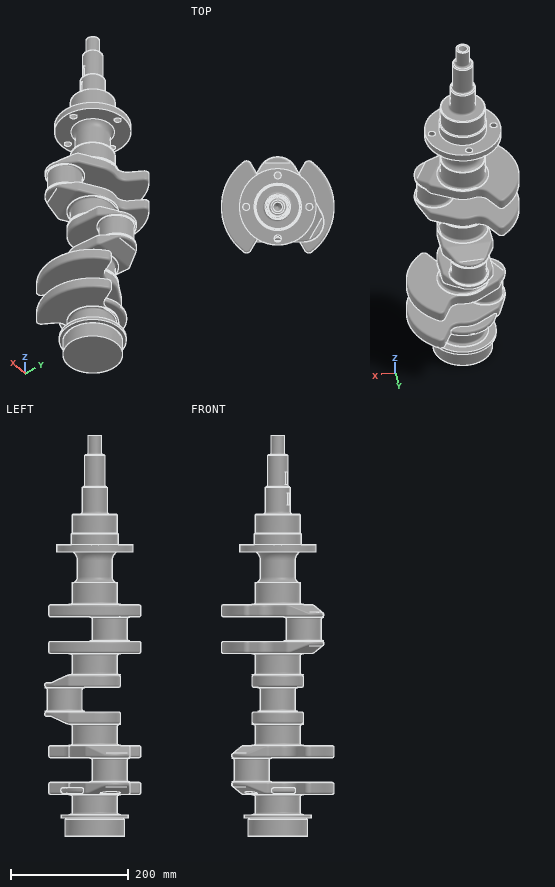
import cadquery as cq
import math

TOTAL_LENGTH = 683.0
THROW = 51.3
CYLINDER_SPACING = 120.0
FIRST_CRANK_Z = 113.0
WEB_THICKNESS = 21.0
WEB_GAP = 41.5

MAIN_RADIUS = 38.4
PIN_RADIUS = 30.0
JOURNAL_FILLET = 3.0
MAIN_COLLAR_RADIUS = 44.0
PIN_COLLAR_RADIUS = 33.5
COLLAR_HEIGHT = 1.0

DISC_RADIUS = 44.0
PIN_END_RADIUS = 34.2
SHOULDER_U = 44.0
SHOULDER_ROUND = 9.5
WEB_EDGE_ROUND = 3.8
BEVEL_START_U = 46.6
BEVEL_END_U = 74.5
BEVEL_DROP = 13.0
BEVEL_CREASE_RUN = 2.5

WEIGHT_RADIUS = 96.22
WEIGHT_HALF_ANGLE = 60.0
WEIGHT_EDGE_SETBACK = 2.5
WEIGHT_TIP_ROUND = 8.0
THROAT_RADIUS = 20.0

NOSE_RADIUS = 11.6
NOSE_LENGTH = 32.5
NOSE_FILLET = 2.5
PULLEY_SEAT_RADIUS = 17.6
PULLEY_SEAT_END = 85.0
GEAR_SEAT_RADIUS = 21.7
GEAR_SEAT_END = 134.0
FRONT_JOURNAL_END = 168.0
SPIGOT_RADIUS = 40.3
FLANGE_TOP = 186.0
FLANGE_BOTTOM = 199.0
FLANGE_RADIUS = 65.2
FLANGE_FLARE_RADIUS = 37.0
FLARE_HEIGHT = 13.5
NECK_RADIUS = 30.0
NECK_END = 241.5
NECK_FLARE_HEIGHT = 9.5
SHAFT_FILLET = 4.0
SMALL_CHAMFER = 1.5
SEAT_CHAMFER = 2.0

FLANGE_HOLE_COUNT = 4
FLANGE_HOLE_DIAMETER = 12.0
FLANGE_HOLE_CIRCLE_RADIUS = 53.7

CENTRE_MOUTH_RADIUS = 8.0
CENTRE_CONE_ANGLE = 60.0

KEY_WIDTH = 7.0
KEY_DEPTH = 4.0
KEY_ANGLE = -30.0
PULLEY_KEY_SPAN = (62.0, 84.0)
GEAR_KEY_SPAN = (98.0, 118.5)

REAR_FLANGE_RADIUS = 57.2
REAR_FLANGE_TOP = 36.7
REAR_BOSS_RADIUS = 51.0
REAR_BOSS_HEIGHT = 31.0
REAR_BOSS_CHAMFER = 2.5

REAR_DISC_RADIUS = 58.0
REAR_DISC_BOTTOM = 73.2
REAR_DISC_THICKNESS = 10.0
REAR_DISC_ROUND = 4.0

WEB_INNER = WEB_GAP / 2
WEB_OUTER = WEB_INNER + WEB_THICKNESS
CRANK_ANGLES = (210.0, 90.0, -30.0)
CRANK_LEVELS = [FIRST_CRANK_Z + i * CYLINDER_SPACING for i in range(len(CRANK_ANGLES))]


def polar(radius, degrees):
    angle = math.radians(degrees)
    return (radius * math.cos(angle), radius * math.sin(angle))


def tangent_arc_radius(rise, run):
    """Radius of an arc that leaves a line tangentially and drifts off it by rise over run."""
    return (rise**2 + run**2) / (2 * rise)


def journal(bottom, top, radius, collar_radius):
    """Cylinder filleted into a thin collar at each end; the ends lie on the web faces."""
    foot = bottom + COLLAR_HEIGHT
    head = top - COLLAR_HEIGHT
    flare_radius = radius + JOURNAL_FILLET
    return (
        cq.Workplane("XZ")
        .moveTo(0, bottom)
        .lineTo(collar_radius, bottom)
        .lineTo(collar_radius, foot)
        .lineTo(flare_radius, foot)
        .radiusArc((radius, foot + JOURNAL_FILLET), JOURNAL_FILLET)
        .lineTo(radius, head - JOURNAL_FILLET)
        .radiusArc((flare_radius, head), JOURNAL_FILLET)
        .lineTo(collar_radius, head)
        .lineTo(collar_radius, top)
        .lineTo(0, top)
        .close()
        .revolve(360, (0, 0, 0), (0, 1, 0))
    )


def pin_end(sketch):
    """Add shoulder, taper, pin-end arc, taper and shoulder, from the -Y flank to the +Y flank."""
    corner = complex(SHOULDER_U - THROW, DISC_RADIUS)
    corner_angle = math.atan2(corner.imag, corner.real)
    touch_angle = math.degrees(corner_angle - math.acos(PIN_END_RADIUS / abs(corner)))
    touch_x, touch_y = polar(PIN_END_RADIUS, touch_angle)
    touch_x += THROW
    turn = 90 - touch_angle
    run = SHOULDER_ROUND * math.tan(math.radians(turn / 2))
    taper_x, taper_drop = polar(run, turn)
    taper_x += SHOULDER_U
    taper_y = DISC_RADIUS - taper_drop
    return (
        sketch.lineTo(SHOULDER_U - run, -DISC_RADIUS)
        .tangentArcPoint((taper_x, -taper_y), relative=False)
        .lineTo(touch_x, -touch_y)
        .threePointArc((THROW + PIN_END_RADIUS, 0), (touch_x, touch_y))
        .lineTo(taper_x, taper_y)
        .tangentArcPoint((SHOULDER_U - run, DISC_RADIUS), relative=False)
        .lineTo(0, DISC_RADIUS)
    )


def plain_outline():
    sketch = pin_end(cq.Workplane("XY").moveTo(0, -DISC_RADIUS))
    return sketch.threePointArc((-DISC_RADIUS, 0), (0, -DISC_RADIUS)).close()


def counterweight_outline():
    """Web with a counterweight sector whose -Y edge is square to the pin direction."""
    lower_edge = -90.0
    weight_axis = lower_edge - WEIGHT_HALF_ANGLE
    upper_edge = weight_axis - WEIGHT_HALF_ANGLE

    def from_edge(along, out, edge, side):
        """Point given along a sector edge and outwards from it (away from the counterweight)."""
        ax, ay = polar(along, edge)
        ox, oy = polar(out, edge + side * 90)
        return (ax + ox, ay + oy)

    throat_out = THROAT_RADIUS - WEIGHT_EDGE_SETBACK
    throat_reach = DISC_RADIUS + THROAT_RADIUS
    upper_throat_along = math.sqrt(throat_reach**2 - throat_out**2)
    throat_x, throat_y = from_edge(upper_throat_along, throat_out, upper_edge, -1)
    disc_share = DISC_RADIUS / throat_reach
    disc_exit = (throat_x * disc_share, throat_y * disc_share)

    tip_out = -WEIGHT_EDGE_SETBACK - WEIGHT_TIP_ROUND
    tip_reach = WEIGHT_RADIUS - WEIGHT_TIP_ROUND
    tip_along = math.sqrt(tip_reach**2 - tip_out**2)
    tip_share = WEIGHT_RADIUS / tip_reach

    def rim_point(edge, side):
        x, y = from_edge(tip_along, tip_out, edge, side)
        return (x * tip_share, y * tip_share)

    setback = -WEIGHT_EDGE_SETBACK
    flank_start = (throat_out, -DISC_RADIUS)
    return (
        pin_end(cq.Workplane("XY").moveTo(*flank_start))
        .tangentArcPoint(disc_exit, relative=False)
        .tangentArcPoint(from_edge(upper_throat_along, setback, upper_edge, -1), relative=False)
        .lineTo(*from_edge(tip_along, setback, upper_edge, -1))
        .tangentArcPoint(rim_point(upper_edge, -1), relative=False)
        .threePointArc(polar(WEIGHT_RADIUS, weight_axis), rim_point(lower_edge, 1))
        .tangentArcPoint(from_edge(tip_along, setback, lower_edge, 1), relative=False)
        .lineTo(*from_edge(throat_reach, setback, lower_edge, 1))
        .tangentArcPoint(flank_start, relative=False)
        .close()
    )


def web(outline):
    """Extruded web with a bevel sloping down to the pin end and rounded rims."""
    body = outline.extrude(WEB_THICKNESS)
    tilt = math.atan2(BEVEL_DROP, BEVEL_END_U - BEVEL_START_U)
    crease_radius = BEVEL_CREASE_RUN / math.tan(tilt / 2)
    crease_x, crease_drop = polar(BEVEL_CREASE_RUN, math.degrees(tilt))
    lip = WEB_THICKNESS - BEVEL_DROP
    beyond = THROW + 2 * PIN_END_RADIUS
    bevel_reach = 2 * DISC_RADIUS
    bevel = (
        cq.Workplane("XZ")
        .moveTo(BEVEL_START_U - BEVEL_CREASE_RUN, WEB_THICKNESS)
        .radiusArc((BEVEL_START_U + crease_x, WEB_THICKNESS - crease_drop), crease_radius)
        .lineTo(BEVEL_END_U, lip)
        .lineTo(beyond, lip)
        .lineTo(beyond, WEB_THICKNESS)
        .close()
        .extrude(bevel_reach, both=True)
    )
    body = body.cut(bevel)
    return body.edges("not(|Z or |Y)").fillet(WEB_EDGE_ROUND)


def throw_pair(upper_web, level):
    """A crank throw: two mirrored webs joined by a crankpin, pin towards +X."""
    upper = upper_web.translate((0, 0, WEB_INNER))
    lower = upper.mirror("XY")
    pin = journal(-WEB_INNER, WEB_INNER, PIN_RADIUS, PIN_COLLAR_RADIUS).translate((THROW, 0, 0))
    return upper.union(lower).union(pin).translate((0, 0, level))


def front_shaft():
    """Nose, seats, front journal, flange and neck, ending at the front main journal."""

    def level(from_nose):
        return TOTAL_LENGTH - from_nose

    front_web = CRANK_LEVELS[-1] + WEB_OUTER
    collar_face = front_web + COLLAR_HEIGHT
    flare_arc = tangent_arc_radius(FLANGE_FLARE_RADIUS - NECK_RADIUS, FLARE_HEIGHT)
    neck_arc = tangent_arc_radius(MAIN_RADIUS - SMALL_CHAMFER - NECK_RADIUS, NECK_FLARE_HEIGHT)
    shoulder_radius = GEAR_SEAT_RADIUS - SEAT_CHAMFER
    seat_fillet = shoulder_radius - PULLEY_SEAT_RADIUS
    return (
        cq.Workplane("XZ")
        .moveTo(0, TOTAL_LENGTH)
        .lineTo(NOSE_RADIUS, TOTAL_LENGTH)
        .lineTo(NOSE_RADIUS, level(NOSE_LENGTH - NOSE_FILLET))
        .radiusArc((NOSE_RADIUS + NOSE_FILLET, level(NOSE_LENGTH)), -NOSE_FILLET)
        .lineTo(PULLEY_SEAT_RADIUS - SEAT_CHAMFER, level(NOSE_LENGTH))
        .lineTo(PULLEY_SEAT_RADIUS, level(NOSE_LENGTH + SEAT_CHAMFER))
        .lineTo(PULLEY_SEAT_RADIUS, level(PULLEY_SEAT_END))
        .radiusArc((shoulder_radius, level(PULLEY_SEAT_END + seat_fillet)), -seat_fillet)
        .lineTo(GEAR_SEAT_RADIUS, level(PULLEY_SEAT_END + seat_fillet + SEAT_CHAMFER))
        .lineTo(GEAR_SEAT_RADIUS, level(GEAR_SEAT_END - SHAFT_FILLET))
        .radiusArc((GEAR_SEAT_RADIUS + SHAFT_FILLET, level(GEAR_SEAT_END)), -SHAFT_FILLET)
        .lineTo(MAIN_RADIUS - SMALL_CHAMFER, level(GEAR_SEAT_END))
        .lineTo(MAIN_RADIUS, level(GEAR_SEAT_END + SMALL_CHAMFER))
        .lineTo(MAIN_RADIUS, level(FRONT_JOURNAL_END - SMALL_CHAMFER))
        .lineTo(SPIGOT_RADIUS, level(FRONT_JOURNAL_END))
        .lineTo(SPIGOT_RADIUS, level(FLANGE_TOP))
        .lineTo(FLANGE_RADIUS, level(FLANGE_TOP))
        .lineTo(FLANGE_RADIUS, level(FLANGE_BOTTOM))
        .lineTo(FLANGE_FLARE_RADIUS, level(FLANGE_BOTTOM))
        .radiusArc((NECK_RADIUS, level(FLANGE_BOTTOM + FLARE_HEIGHT)), -flare_arc)
        .lineTo(NECK_RADIUS, level(NECK_END))
        .radiusArc((MAIN_RADIUS - SMALL_CHAMFER, level(NECK_END + NECK_FLARE_HEIGHT)), -neck_arc)
        .lineTo(MAIN_RADIUS, level(NECK_END + NECK_FLARE_HEIGHT))
        .lineTo(MAIN_RADIUS, collar_face + JOURNAL_FILLET)
        .radiusArc((MAIN_RADIUS + JOURNAL_FILLET, collar_face), -JOURNAL_FILLET)
        .lineTo(MAIN_COLLAR_RADIUS, collar_face)
        .lineTo(MAIN_COLLAR_RADIUS, front_web)
        .lineTo(0, front_web)
        .close()
        .revolve(360, (0, 0, 0), (0, 1, 0))
    )


def main_journals():
    """Main journals between neighbouring throws."""
    joined = None
    for lower, upper in zip(CRANK_LEVELS, CRANK_LEVELS[1:]):
        piece = journal(lower + WEB_OUTER, upper - WEB_OUTER, MAIN_RADIUS, MAIN_COLLAR_RADIUS)
        joined = piece if joined is None else joined.union(piece)
    return joined


def rear_end():
    """Rear main journal with its thin flange and the boss that ends the shaft."""
    rear_journal = journal(REAR_FLANGE_TOP, CRANK_LEVELS[0] - WEB_OUTER, MAIN_RADIUS, MAIN_COLLAR_RADIUS)
    boss = cq.Workplane("XY").circle(REAR_BOSS_RADIUS).extrude(REAR_BOSS_HEIGHT)
    boss = boss.edges(">Z").chamfer(REAR_BOSS_CHAMFER)
    flange = (
        cq.Workplane("XY", origin=(0, 0, REAR_BOSS_HEIGHT))
        .circle(REAR_FLANGE_RADIUS)
        .extrude(REAR_FLANGE_TOP - REAR_BOSS_HEIGHT)
    )
    return rear_journal.union(flange).union(boss)


def rear_disc():
    """Round-edged disc inside the rearmost web, filling the throats beside its counterweight."""
    disc = cq.Workplane("XY", origin=(0, 0, REAR_DISC_BOTTOM)).circle(REAR_DISC_RADIUS)
    return disc.extrude(REAR_DISC_THICKNESS).edges().fillet(REAR_DISC_ROUND)


def flange_holes():
    return (
        cq.Workplane("XY", origin=(0, 0, TOTAL_LENGTH - FLANGE_BOTTOM))
        .polarArray(FLANGE_HOLE_CIRCLE_RADIUS, 0, 360, FLANGE_HOLE_COUNT)
        .circle(FLANGE_HOLE_DIAMETER / 2)
        .extrude(FLANGE_BOTTOM - FLANGE_TOP)
    )


def keyway(seat_radius, span):
    """Flat-bottomed key slot between two distances from the nose end."""
    start, end = span
    return (
        cq.Workplane("XY")
        .box(2 * KEY_DEPTH, KEY_WIDTH, end - start)
        .translate((seat_radius, 0, TOTAL_LENGTH - (start + end) / 2))
        .rotate((0, 0, 0), (0, 0, 1), KEY_ANGLE)
    )


def centre_hole():
    depth = CENTRE_MOUTH_RADIUS / math.tan(math.radians(CENTRE_CONE_ANGLE / 2))
    cone = cq.Solid.makeCone(0, CENTRE_MOUTH_RADIUS, depth)
    return cq.Workplane("XY").add(cone).translate((0, 0, TOTAL_LENGTH - depth))


def crankshaft():
    weighted_web = web(counterweight_outline())
    rear_web = weighted_web.mirror("XZ")
    webs = (rear_web, web(plain_outline()), weighted_web)
    shaft = front_shaft().union(main_journals()).union(rear_end()).union(rear_disc())
    for angle, level, upper_web in zip(CRANK_ANGLES, CRANK_LEVELS, webs):
        shaft = shaft.union(throw_pair(upper_web, level).rotate((0, 0, 0), (0, 0, 1), angle))
    shaft = shaft.cut(flange_holes()).cut(centre_hole())
    shaft = shaft.cut(keyway(PULLEY_SEAT_RADIUS, PULLEY_KEY_SPAN))
    return shaft.cut(keyway(GEAR_SEAT_RADIUS, GEAR_KEY_SPAN))


result = crankshaft()